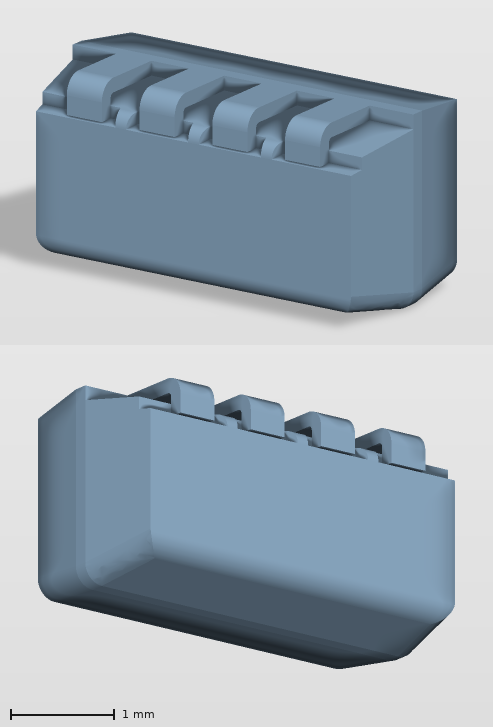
import cadquery as cq
import math

width = 3.98
height = 2.0
belt_depth = 0.15
rear_depth = 0.73
front_depth = 0.85
rear_draft = math.radians(7)
front_draft = math.radians(10)
edge_radius = 0.2

lead_count = 4
lead_pitch = 0.85
lead_width = 0.41
lead_thickness = 0.15
lead_drop = 0.4
lead_outer_radius = 0.2
lead_inner_radius = lead_outer_radius - lead_thickness

rib_root_width = 0.2
rib_draft = math.radians(14)
rib_radius = 0.15

rear_y = belt_depth + rear_depth
front_y = -front_depth
step_y = front_y + lead_thickness
front_top = height - lead_thickness
lead_bottom = height - lead_drop
rear_inset = rear_depth * math.tan(rear_draft)
front_inset = front_depth * math.tan(front_draft)
step_fall = lead_thickness * math.tan(front_draft)
nose_top = front_top - front_inset


def centred_places(count):
    """X places of a row with the lead pitch, centred on X = 0."""
    return [(i - (count - 1) / 2) * lead_pitch for i in range(count)]


def section(y, inset, top):
    """Closed XZ wire at the given Y: square top corners, rounded bottom corners."""
    side = width / 2 - inset
    bottom = inset
    flat = side - edge_radius
    tangent_z = bottom + edge_radius
    diagonal = edge_radius * math.sqrt(0.5)
    arc_x = flat + diagonal
    arc_z = tangent_z - diagonal
    return (
        cq.Workplane("XZ", origin=(0, y, 0))
        .moveTo(-side, top)
        .lineTo(side, top)
        .lineTo(side, tangent_z)
        .threePointArc((arc_x, arc_z), (flat, bottom))
        .lineTo(-flat, bottom)
        .threePointArc((-arc_x, arc_z), (-side, tangent_z))
        .close()
        .val()
    )


def loft_between(first, second):
    """Straight-sided solid between two XZ wires."""
    return cq.Workplane(cq.Solid.makeLoft([first, second], True))


def side_prism(points, prism_width, x=0):
    """Prism along X from a YZ outline, centred on the given X."""
    return (
        cq.Workplane("YZ", origin=(x, 0, 0))
        .polyline(points)
        .close()
        .extrude(prism_width / 2, both=True)
    )


def round_edge(solid, point, radius):
    """Fillet the X-running edge of a prism that passes nearest a YZ point."""
    y, z = point
    edge = cq.selectors.NearestToPointSelector((solid.val().Center().x, y, z))
    return solid.edges("|X").edges(edge).fillet(radius)


def make_front_half():
    """Drafted front half with a stepped top edge and a rounded bottom edge."""
    block = loft_between(section(0, 0, front_top), section(front_y, front_inset, nose_top))
    step_wall_top = nose_top + step_fall
    envelope = side_prism(
        [
            (0, 0),
            (0, front_top),
            (step_y, step_wall_top),
            (step_y, lead_bottom),
            (front_y, lead_bottom - step_fall),
            (front_y, front_inset),
        ],
        width,
    )
    envelope = round_edge(envelope, (front_y, front_inset), edge_radius)
    return block.intersect(envelope)


def make_rib(x):
    """Rib narrowing toward the front, rounded down to the step floor it is sunk into."""
    root_half = rib_root_width / 2
    tip_half = root_half - lead_thickness * math.tan(rib_draft)
    profile = side_prism(
        [
            (step_y, lead_bottom - step_fall),
            (step_y, nose_top + step_fall),
            (front_y, nose_top),
            (front_y, lead_bottom - 2 * step_fall),
        ],
        rib_root_width,
        x,
    )
    profile = round_edge(profile, (front_y, nose_top), rib_radius)
    plan = (
        cq.Workplane("XY", origin=(x, 0, 0))
        .polyline([(-root_half, step_y), (root_half, step_y), (tip_half, front_y), (-tip_half, front_y)])
        .close()
        .extrude(height)
    )
    return profile.intersect(plan)


def make_housing():
    belt = loft_between(section(0, 0, height), section(belt_depth, 0, height))
    rear_half = loft_between(
        section(belt_depth, 0, height), section(rear_y, rear_inset, height - rear_inset)
    )
    body = belt.union(rear_half).union(make_front_half())
    for x in centred_places(lead_count - 1):
        body = body.union(make_rib(x))
    return body


def make_lead(x):
    """L-shaped strip from the belt to the front, then down onto the step floor."""
    strip = side_prism(
        [
            (0, height),
            (front_y, height),
            (front_y, lead_bottom),
            (step_y, lead_bottom),
            (step_y, front_top),
            (0, front_top),
        ],
        lead_width,
        x,
    )
    strip = round_edge(strip, (front_y, height), lead_outer_radius)
    return round_edge(strip, (step_y, front_top), lead_inner_radius)


housing = make_housing()
leads = [make_lead(x) for x in centred_places(lead_count)]

result = cq.Compound.makeCompound([housing.val(), *[lead.val() for lead in leads]])